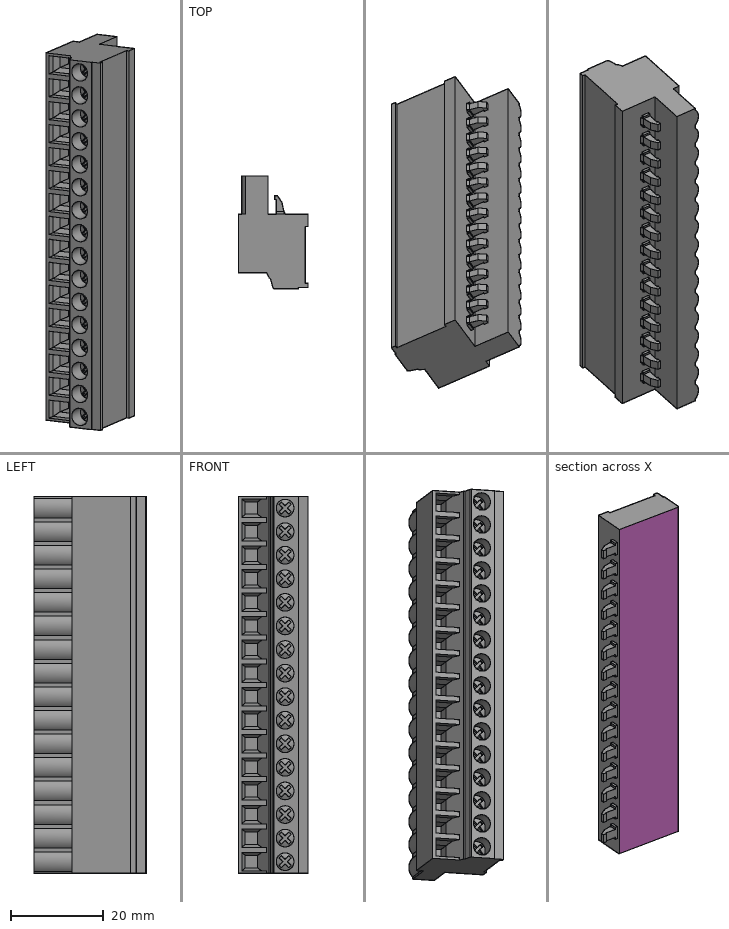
import cadquery as cq

POLE_COUNT = 16
PITCH = 5.08
LENGTH = POLE_COUNT * PITCH
WIDTH = 15.0
DEPTH = 24.32

SHELF_Y = 16.08
ENTRY_Y = 3.45
ENTRY_END_X = 6.05
SLOPE_END_X = 6.62
SLOPE_END_Y = 2.35
STEP_END_X = 6.88
STEP_END_Y = 2.15
WALL_END_X = 7.4
EDGE_CHAMFER = 0.25
RECESS_X = 14.4
RECESS_START_Y = 1.25
RECESS_END_Y = 13.4
RIM_X = 12.9
RIM_SETBACK = 0.23

PLUG_WALL_X = 1.55
PLUG_END_X = 6.4
LOBE_TIP_X = 0.7
LOBE_WIDTH = 4.2

FUNNEL_X = 0.75
FUNNEL_HEIGHT = 4.0
FUNNEL_START_Y = 5.4
CAVITY_X = 1.45
CAVITY_END_X = 4.1
CAVITY_HEIGHT = 2.65
CAVITY_DEPTH = 4.0

SCREW_X = 10.05
SCREW_HOLE_DIAMETER = 3.8
SCREW_HOLE_DEPTH = 4.0
DOME_HEIGHT = 0.6
SLOT_WIDTH = 0.7
SLOT_LENGTH = 3.0
SLOT_DEPTH = 1.0
SLOT_ANGLE = 45.0

LATCH_WIDTH = 2.0
LATCH_FRONT_X = 8.1
LATCH_BACK_X = 9.8
LATCH_BARB_X = 7.8
LATCH_TIP_X = 8.4
LATCH_TIP_Y = 20.1
LATCH_BARB_Y = 19.2
LATCH_SHOULDER_X = 9.4
LATCH_SHOULDER_Y = 18.6
FOOT_X = 10.15
FOOT_HEIGHT = 0.6
FOOT_WIDTH = 3.0

POLE_CENTRES = [(index + 0.5) * PITCH for index in range(POLE_COUNT)]
POLE_BOUNDARIES = [index * PITCH for index in range(1, POLE_COUNT)]

OPENING_SLOPE = (ENTRY_Y - SLOPE_END_Y) / (SLOPE_END_X - ENTRY_END_X)
FUNNEL_END_X = ENTRY_END_X - (FUNNEL_START_Y - ENTRY_Y) / OPENING_SLOPE
FUNNEL_FLOOR_Y = ENTRY_Y + OPENING_SLOPE * (ENTRY_END_X - CAVITY_END_X)


def box(x_range, y_range, z_range):
    size = [end - start for start, end in (x_range, y_range, z_range)]
    return cq.Workplane("XY").box(*size, centered=False).translate((x_range[0], y_range[0], z_range[0]))


def centred_span(centre, width):
    return centre - width / 2, centre + width / 2


def rectangle_wire(x_range, y, z_range):
    corners = [(x, y, z) for x, z in zip(x_range + x_range[::-1], (z_range[0],) * 2 + (z_range[1],) * 2)]
    return cq.Wire.makePolygon([cq.Vector(*corner) for corner in corners], close=True)


def make_housing():
    outline = [
        (0, ENTRY_Y),
        (ENTRY_END_X, ENTRY_Y),
        (SLOPE_END_X, SLOPE_END_Y),
        (STEP_END_X, STEP_END_Y),
        (WALL_END_X, EDGE_CHAMFER),
        (WALL_END_X + EDGE_CHAMFER, 0),
        (RIM_X, 0),
        (RIM_X, RIM_SETBACK),
        (WIDTH, RIM_SETBACK),
        (WIDTH, RECESS_START_Y),
        (RECESS_X, RECESS_START_Y),
        (RECESS_X, RECESS_END_Y),
        (WIDTH, RECESS_END_Y),
        (WIDTH, SHELF_Y),
        (0, SHELF_Y),
    ]
    return cq.Workplane("XY").polyline(outline).close().extrude(LENGTH)


def make_plug_block():
    block = box((PLUG_WALL_X, PLUG_END_X), (SHELF_Y, DEPTH), (0, LENGTH))
    for z in POLE_CENTRES:
        low, high = centred_span(z, LOBE_WIDTH)
        lobe = (
            cq.Workplane("XZ", origin=(0, DEPTH, 0))
            .moveTo(PLUG_WALL_X, low)
            .threePointArc((LOBE_TIP_X, z), (PLUG_WALL_X, high))
            .lineTo(PLUG_END_X, high)
            .lineTo(PLUG_END_X, low)
            .close()
            .extrude(DEPTH - SHELF_Y)
        )
        block = block.union(lobe)
    return block


def make_cable_opening(z):
    """Straight mouth, then a tapered funnel, then a square cavity; the +X side follows the housing slope."""
    mouth_z = centred_span(z, FUNNEL_HEIGHT)
    cavity_z = centred_span(z, CAVITY_HEIGHT)
    entry_wire = rectangle_wire((FUNNEL_X, ENTRY_END_X), ENTRY_Y, mouth_z)
    funnel_wire = rectangle_wire((FUNNEL_X, FUNNEL_END_X), FUNNEL_START_Y, mouth_z)
    floor_wire = rectangle_wire((CAVITY_X, CAVITY_END_X), FUNNEL_FLOOR_Y, cavity_z)
    mouth = cq.Workplane(cq.Solid.makeLoft([entry_wire, funnel_wire], True))
    funnel = cq.Workplane(cq.Solid.makeLoft([funnel_wire, floor_wire], True))
    cavity = box((CAVITY_X, CAVITY_END_X), (FUNNEL_FLOOR_Y, FUNNEL_FLOOR_Y + CAVITY_DEPTH), cavity_z)
    return mouth.union(funnel).union(cavity)


def make_screw_opening(z):
    """Round hole ending at a domed screw head, with the head's cross recess."""
    radius = SCREW_HOLE_DIAMETER / 2
    dome_radius = (radius**2 + DOME_HEIGHT**2) / (2 * DOME_HEIGHT)
    dome_top_y = SCREW_HOLE_DEPTH - DOME_HEIGHT
    dome = cq.Workplane("XY").sphere(dome_radius).translate((SCREW_X, dome_top_y + dome_radius, z))
    hole = (
        cq.Workplane("XZ", origin=(SCREW_X, 0, z))
        .circle(radius)
        .extrude(-SCREW_HOLE_DEPTH)
        .cut(dome)
    )
    for angle in (SLOT_ANGLE, -SLOT_ANGLE):
        slot = (
            cq.Workplane("XZ", origin=(SCREW_X, dome_top_y, z))
            .transformed(rotate=(0, 0, angle))
            .rect(SLOT_LENGTH, SLOT_WIDTH)
            .extrude(-SLOT_DEPTH)
        )
        hole = hole.union(slot)
    return hole


def make_latch(z):
    foot_top = SHELF_Y + FOOT_HEIGHT
    outline = [
        (LATCH_FRONT_X, SHELF_Y),
        (LATCH_FRONT_X, LATCH_BARB_Y),
        (LATCH_BARB_X, LATCH_BARB_Y),
        (LATCH_BARB_X, LATCH_TIP_Y),
        (LATCH_TIP_X, LATCH_TIP_Y),
        (LATCH_SHOULDER_X, LATCH_SHOULDER_Y),
        (LATCH_BACK_X, foot_top),
        (FOOT_X, SHELF_Y),
    ]
    low, high = centred_span(z, LATCH_WIDTH)
    hook = cq.Workplane("XY", origin=(0, 0, low)).polyline(outline).close().extrude(high - low)
    foot = box((LATCH_FRONT_X, LATCH_BACK_X), (SHELF_Y, foot_top), centred_span(z, FOOT_WIDTH))
    return hook.union(foot)


openings = []
for pole_z in POLE_CENTRES:
    openings.append(make_cable_opening(pole_z).val())
    openings.append(make_screw_opening(pole_z).val())
latches = [make_latch(boundary_z).val() for boundary_z in POLE_BOUNDARIES]

body = make_housing().union(make_plug_block()).val()
result = cq.Workplane(body.cut(*openings).fuse(*latches).Solids()[0])